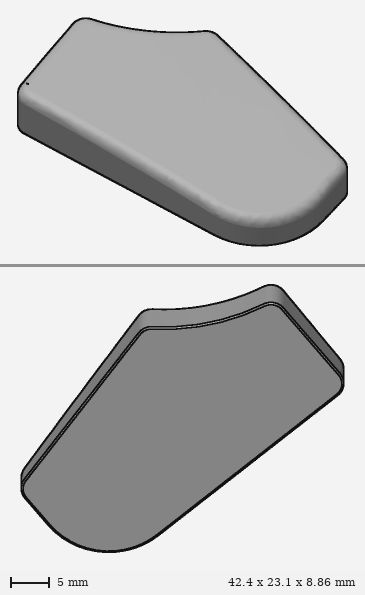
import cadquery as cq
import math

length = 42.4
corner_radius = 4.25 / 2
nose_radius = 10.15
back_angle = 14.0
back_right_y = 16.585

recess_x = -4.2
recess_y = 43.15
recess_radius = 28.02

height = 8.86
top_edge_radius = 1.5
bottom_chamfer = 0.25

dome_radius = 348.0


def back_corner():
    """Sharp corner where the recess arc meets the straight back wall."""
    slope = -math.tan(math.radians(back_angle))
    line_y = back_right_y - slope * length - recess_y
    a = 1 + slope**2
    b = 2 * (slope * line_y - recess_x)
    c = recess_x**2 + line_y**2 - recess_radius**2
    x = (-b + math.sqrt(b**2 - 4 * a * c)) / (2 * a)
    return x, slope * x + line_y + recess_y


def recess_point(angle):
    """Point on the recess arc at the given angle in radians."""
    return (
        recess_x + recess_radius * math.cos(angle),
        recess_y + recess_radius * math.sin(angle),
    )


def make_prism():
    """Straight-walled block with rounded vertical corners."""
    peak = back_corner()
    peak_angle = math.atan2(peak[1] - recess_y, peak[0] - recess_x)
    left_angle = -math.acos(-recess_x / recess_radius)
    nose_middle = nose_radius * math.sqrt(0.5)
    block = (
        cq.Workplane("XY")
        .lineTo(length - nose_radius, 0)
        .threePointArc(
            (length - nose_radius + nose_middle, nose_radius - nose_middle),
            (length, nose_radius),
        )
        .lineTo(length, back_right_y)
        .lineTo(*peak)
        .threePointArc(recess_point((peak_angle + left_angle) / 2), recess_point(left_angle))
        .close()
        .extrude(2 * height)
    )
    sharp_corners = [(0, 0), (length, back_right_y), peak, recess_point(left_angle)]
    for x, y in sharp_corners:
        corner = cq.selectors.NearestToPointSelector((x, y, height))
        block = block.edges(corner).fillet(corner_radius)
    return block


def make_dome():
    """Sphere whose surface forms the top.

    The edge round along the recess is the highest place on the part. Its
    centre line runs one edge radius inside the recess wall and one edge
    radius below the sphere.
    """
    crest_distance = recess_radius + top_edge_radius
    inner_radius = dome_radius - top_edge_radius
    crest_rise = math.sqrt(inner_radius**2 - crest_distance**2)
    centre_z = height - top_edge_radius - crest_rise
    return cq.Workplane("XY").sphere(dome_radius).translate((recess_x, recess_y, centre_z))


body = make_prism().intersect(make_dome())
top_face = cq.selectors.NearestToPointSelector((length / 2, nose_radius, height))
body = body.faces(top_face).edges().fillet(top_edge_radius)
result = body.faces("<Z").edges().chamfer(bottom_chamfer)